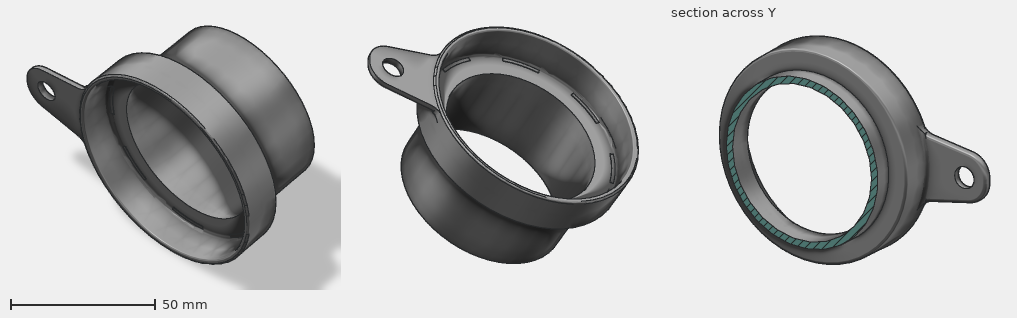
import cadquery as cq
import math


tolerance = 0.01
overlap = 1.6

total_length = 43.76
cup_length = 15.3
cup_depth = 12.8

cup_rim_radius = 39.5
cup_back_radius = 39.2
cup_bore_rim_radius = 37.4
cup_bore_floor_radius = 37.0
cup_back_round = 1.0
rim_round = 0.7
floor_round = 1.5

tube_base_radius = 31.65
tube_end_radius = 31.25
tube_bore_floor_radius = 28.65
tube_bore_end_radius = 28.95
tube_end_round = 0.4

pad_count = 8
pad_angle = 22.5
pad_inner_radius = 35.0
pad_outer_radius = cup_bore_floor_radius + overlap
pad_height = 0.2

tab_tip_x = -64.0
tab_front_y = 0.6
tab_thickness = 2.5
tab_back_y = tab_front_y + tab_thickness
tab_tip_flat_half = 0.8
tab_corner_radius = 8.6
tab_flare_angle = math.radians(10)
tab_root_radius = 6.0
tab_edge_round = tab_thickness / 2
tab_web_radius = tab_edge_round
tab_hole_x = -55.0
tab_hole_diameter = 8.0

web_back_y = tab_back_y + tab_web_radius
tab_ring_radius = cup_rim_radius - (cup_rim_radius - cup_back_radius) * web_back_y / cup_length


def round_ring_edge(shell, radius, y, round_radius):
    """Round the circular edge of the given radius that lies at height y."""

    def matches(edge):
        same_radius = abs(edge.radius() - radius) < tolerance
        return same_radius and abs(edge.Center().y - y) < tolerance

    edges = shell.edges("%CIRCLE").filter(matches)
    return edges.fillet(round_radius)


def make_body():
    """Stepped, drafted shell of cup and tube, with its edges rounded."""
    shell = (
        cq.Workplane("XY")
        .moveTo(cup_bore_rim_radius, 0)
        .lineTo(cup_rim_radius, 0)
        .lineTo(cup_back_radius, cup_length)
        .lineTo(tube_base_radius, cup_length)
        .lineTo(tube_end_radius, total_length)
        .lineTo(tube_bore_end_radius, total_length)
        .lineTo(tube_bore_floor_radius, cup_depth)
        .lineTo(cup_bore_floor_radius, cup_depth)
        .close()
        .revolve(360, (0, 0, 0), (0, 1, 0))
    )
    shell = round_ring_edge(shell, cup_rim_radius, 0, rim_round)
    shell = round_ring_edge(shell, cup_bore_rim_radius, 0, rim_round)
    shell = round_ring_edge(shell, cup_back_radius, cup_length, cup_back_round)
    shell = round_ring_edge(shell, cup_bore_floor_radius, cup_depth, floor_round)
    return round_ring_edge(shell, tube_end_radius, total_length, tube_end_round)


def make_pad(center_angle):
    """One arc pad on the cup floor, reaching into the floor and its round."""
    return (
        cq.Workplane("XY")
        .moveTo(pad_inner_radius, cup_depth - pad_height)
        .lineTo(pad_outer_radius, cup_depth - pad_height)
        .lineTo(pad_outer_radius, cup_depth + overlap)
        .lineTo(pad_inner_radius, cup_depth + overlap)
        .close()
        .revolve(pad_angle, (0, 0, 0), (0, 1, 0))
        .rotate((0, 0, 0), (0, 1, 0), center_angle - pad_angle / 2)
    )


def polar(center, radius, angle):
    """Point at the given radius and angle (radians) from a center."""
    return (center[0] + radius * math.cos(angle), center[1] + radius * math.sin(angle))


def tab_outline():
    """Closed XZ outline: flat tip, round corners, flared sides, concave roots."""
    side_normal = math.pi / 2 + tab_flare_angle
    tip_end = (tab_tip_x, tab_tip_flat_half)

    corner_center = (tab_tip_x + tab_corner_radius, tab_tip_flat_half)
    corner_mid = polar(corner_center, tab_corner_radius, (math.pi + side_normal) / 2)
    side_start = polar(corner_center, tab_corner_radius, side_normal)

    side_offset = side_start[0] * math.cos(side_normal) + side_start[1] * math.sin(side_normal)
    root_offset = side_offset + tab_root_radius
    root_reach = math.sqrt((tab_ring_radius + tab_root_radius) ** 2 - root_offset**2)
    root_center = polar(polar((0, 0), root_offset, side_normal), -root_reach, tab_flare_angle)
    side_end = polar(root_center, -tab_root_radius, side_normal)
    outward_angle = math.atan2(root_center[1], root_center[0])
    root_mid = polar(root_center, -tab_root_radius, (side_normal + outward_angle) / 2)
    root_end = polar((0, 0), tab_ring_radius, outward_angle)

    buried_radius = tab_ring_radius - overlap
    buried_end = polar((0, 0), buried_radius, outward_angle)

    def mirrored(point):
        return (point[0], -point[1])

    return (
        cq.Workplane("XZ", origin=(0, tab_front_y, 0))
        .moveTo(*mirrored(tip_end))
        .lineTo(*tip_end)
        .threePointArc(corner_mid, side_start)
        .lineTo(*side_end)
        .threePointArc(root_mid, root_end)
        .lineTo(*buried_end)
        .threePointArc((-buried_radius, 0), mirrored(buried_end))
        .lineTo(*mirrored(root_end))
        .threePointArc(mirrored(root_mid), mirrored(side_end))
        .lineTo(*mirrored(side_start))
        .threePointArc(mirrored(corner_mid), mirrored(tip_end))
        .close()
    )


def make_tab_plate():
    """Tab plate with its outer back edge rounded."""
    plate = tab_outline().extrude(-tab_thickness)

    def is_outer(edge):
        center = edge.positionAt(0.5)
        return math.hypot(center.x, center.z) > tab_ring_radius + tolerance

    return plate.faces(">Y").edges().filter(is_outer).fillet(tab_edge_round)


def make_tab_web():
    """Concave web behind the tab, following the cup wall across the tab's root."""
    web_outer_radius = tab_ring_radius + tab_web_radius
    arc_inset = tab_web_radius * math.sqrt(0.5)
    ring = (
        cq.Workplane("XY")
        .moveTo(tab_ring_radius - overlap, tab_front_y)
        .lineTo(web_outer_radius, tab_front_y)
        .lineTo(web_outer_radius, tab_back_y)
        .threePointArc(
            (web_outer_radius - arc_inset, web_back_y - arc_inset),
            (tab_ring_radius, web_back_y),
        )
        .lineTo(tab_ring_radius - overlap, web_back_y)
        .close()
        .revolve(360, (0, 0, 0), (0, 1, 0))
    )
    return ring.intersect(tab_outline().extrude(tab_front_y - web_back_y))


def make_tab_hole():
    """Cutter for the round hole through the tab."""
    return (
        cq.Workplane("XZ", origin=(tab_hole_x, 0, 0))
        .circle(tab_hole_diameter / 2)
        .extrude(-(tab_back_y + overlap))
    )


def make_tab():
    """Complete tab: plate with its hole, and the web behind its root."""
    return make_tab_plate().cut(make_tab_hole()).union(make_tab_web())


result = make_body()
for index in range(pad_count):
    result = result.union(make_pad(index * 360 / pad_count))
result = result.union(make_tab())